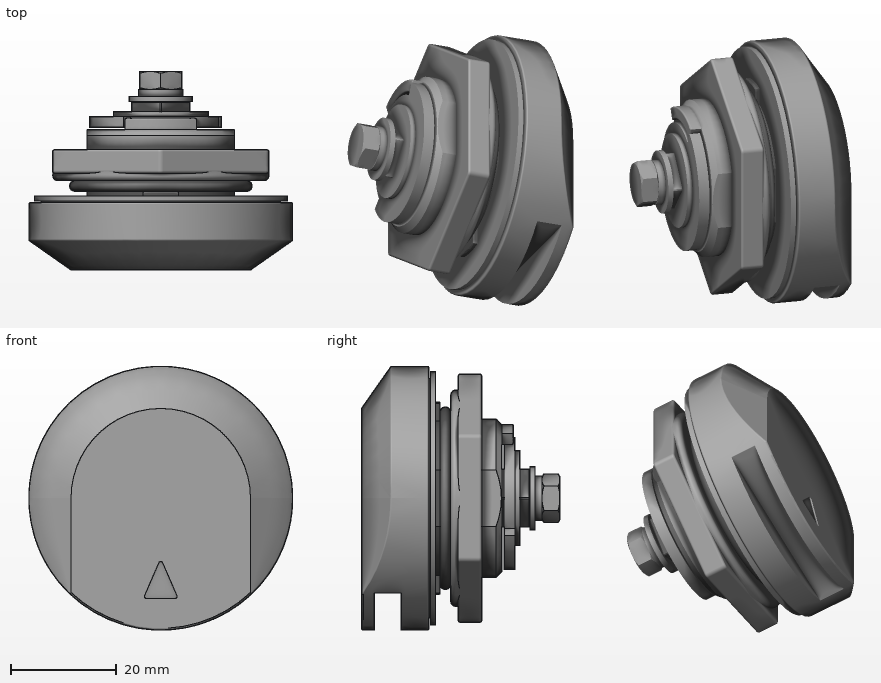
import cadquery as cq
import math


TOLERANCE = 0.001

KNOB_RADIUS = 25.0
FACE_RADIUS = 17.0
CONE_DEPTH = 5.6
KNOB_BACK = 12.75
KNOB_RIM_FILLET = 0.35
KNOB_BACK_FILLET = 0.3
BOSS_RADIUS = 22.7
BOSS_LENGTH = 0.3
GRIP_SLOT_DEPTH = 7.0
GRIP_SLOT_FRONT = 2.45
GRIP_SLOT_BACK = 7.5
ARROW_BASE_Z = -19.0
ARROW_HEIGHT = 7.6
ARROW_HALF_WIDTH = 3.3
ARROW_CORNER_RADIUS = 0.4
ARROW_DEPTH = 0.3

SPINDLE_SQUARE = 8.0
SPINDLE_RADIUS = 5.5
SPINDLE_END = 31.9
SPINDLE_EDGE_CHAMFER = 0.2

FLANGE_RADIUS = 24.0
FLANGE_THICKNESS = 1.0
FLANGE_FRONT = KNOB_BACK + BOSS_LENGTH
FLANGE_BACK = FLANGE_FRONT + FLANGE_THICKNESS
KEY_REACH = 18.25
KEY_WIDTH = 6.7
KEY_THICKNESS = 0.85
KEY_FILLET = 0.3
BARREL_RADIUS = 15.0
BARREL_FLATS = 28.0
BARREL_BACK = 26.6
BARREL_CHAMFER = 1.1
STOP_INNER_RADIUS = 11.6
STOP_OUTER_RADIUS = 14.0
STOP_HALF_ANGLE = 29.0
STOP_LENGTH = 2.15
STOP_FILLET = 0.3

RING_TUBE_RADIUS = 1.0
RING_OUTER_RADIUS = 17.3
RING_FRONT = FLANGE_BACK + KEY_THICKNESS

NUT_FLATS = 41.0
NUT_COLLAR_LENGTH = 1.4
NUT_HEX_LENGTH = 4.5
NUT_CORNER_RADIUS = 1.0
NUT_EDGE_FILLET = 0.45
NUT_COLLAR_FILLET = 1.0
NUT_FRONT = RING_FRONT + 2 * RING_TUBE_RADIUS
NUT_HEX_FRONT = NUT_FRONT + NUT_COLLAR_LENGTH
NUT_BACK = NUT_HEX_FRONT + NUT_HEX_LENGTH

CAM_SMALL_RADIUS = 11.0
CAM_LARGE_RADIUS = 13.5
CAM_THICKNESS = 2.05
CAM_FRONT = 27.0
CAM_BACK = CAM_FRONT + CAM_THICKNESS
CAM_FLANK_ANGLE = 31.6
WASHER_RADIUS = 9.0
WASHER_THICKNESS = 0.95

SCREW_WASHER_RADIUS = 6.0
SCREW_WASHER_THICKNESS = 1.0
SPRING_WASHER_RADIUS = 4.25
SPRING_WASHER_THICKNESS = 1.3
SCREW_FLATS = 8.0
SCREW_HEAD_HEIGHT = 3.4
SCREW_CHAMFER_ANGLE = 30.0


def plane_at(y):
    """XZ sketch plane at the given Y; local x, y are X, Z, and negative extrusion goes to +Y."""
    return cq.Workplane("XZ", origin=(0, y, 0))


def disc(radius, front, back):
    return plane_at(front).circle(radius).extrude(front - back)


def hexagon(flats, front, back):
    """Hexagonal prism with two corners in line with the Z axis."""
    corner_diameter = flats / math.cos(math.radians(30))
    prism = plane_at(front).polygon(6, corner_diameter).extrude(front - back)
    return prism.rotate((0, 0, 0), (0, 1, 0), 30)


def spindle_square(front, back):
    """Square bar turned 45 degrees, its corners rounded to the spindle's radius."""
    bar = plane_at(front).rect(SPINDLE_SQUARE, SPINDLE_SQUARE).extrude(front - back)
    bar = bar.rotate((0, 0, 0), (0, 1, 0), 45)
    return bar.intersect(disc(SPINDLE_RADIUS, front, back))


def barrel_outline(front, back):
    """Round bar with a flat on its -X and +X sides."""
    flats = plane_at(front).rect(BARREL_FLATS, 2 * BARREL_RADIUS).extrude(front - back)
    return disc(BARREL_RADIUS, front, back).intersect(flats)


def polar(radius, degrees):
    angle = math.radians(degrees)
    return (radius * math.cos(angle), radius * math.sin(angle))


def sector(inner, outer, start, end, front, back):
    """Ring segment between two angles, measured from +X toward +Z."""
    middle = (start + end) / 2
    return (
        plane_at(front)
        .moveTo(*polar(inner, start))
        .lineTo(*polar(outer, start))
        .threePointArc(polar(outer, middle), polar(outer, end))
        .lineTo(*polar(inner, end))
        .threePointArc(polar(inner, middle), polar(inner, start))
        .close()
        .extrude(front - back)
    )


def lies_on_front_rim(edge):
    """True for an edge where the knob's front meets its round side."""
    points = [edge.positionAt(part) for part in (0, 0.5, 1)]
    on_side = all(abs(math.hypot(p.x, p.z) - KNOB_RADIUS) < TOLERANCE for p in points)
    return on_side and all(p.y < CONE_DEPTH + TOLERANCE for p in points)


def make_knob():
    slope_radius = FACE_RADIUS + (KNOB_RADIUS - FACE_RADIUS) * KNOB_BACK / CONE_DEPTH
    cone_profile = [(0, 0), (FACE_RADIUS, 0), (slope_radius, KNOB_BACK), (0, KNOB_BACK)]
    cone = cq.Workplane("XY").polyline(cone_profile).close().revolve(180, (0, 0, 0), (0, -1, 0))
    prism_profile = [
        (-FACE_RADIUS, 0),
        (FACE_RADIUS, 0),
        (slope_radius, KNOB_BACK),
        (-slope_radius, KNOB_BACK),
    ]
    prism = cq.Workplane("XY").polyline(prism_profile).close().extrude(-slope_radius)
    knob = disc(KNOB_RADIUS, 0, KNOB_BACK).intersect(cone.union(prism))
    knob = knob.faces(">Y").edges().fillet(KNOB_BACK_FILLET)
    rim = knob.edges().filter(lies_on_front_rim)
    knob = knob.newObject(rim.vals()).fillet(KNOB_RIM_FILLET)

    slot_width = GRIP_SLOT_BACK - GRIP_SLOT_FRONT
    slot = cq.Workplane("XY").box(2 * KNOB_RADIUS, slot_width, GRIP_SLOT_DEPTH).translate(
        (0, GRIP_SLOT_FRONT + slot_width / 2, GRIP_SLOT_DEPTH / 2 - KNOB_RADIUS)
    )
    arrow = (
        plane_at(0)
        .polyline([
            (-ARROW_HALF_WIDTH, ARROW_BASE_Z),
            (ARROW_HALF_WIDTH, ARROW_BASE_Z),
            (0, ARROW_BASE_Z + ARROW_HEIGHT),
        ])
        .close()
        .extrude(-ARROW_DEPTH)
        .edges("|Y")
        .fillet(ARROW_CORNER_RADIUS)
    )
    boss = disc(BOSS_RADIUS, KNOB_BACK, FLANGE_FRONT)
    shaft = disc(SPINDLE_RADIUS, FLANGE_FRONT, BARREL_BACK)
    square = spindle_square(BARREL_BACK, SPINDLE_END).faces(">Y").chamfer(SPINDLE_EDGE_CHAMFER)
    return knob.cut(slot).cut(arrow).union(boss).union(shaft).union(square)


def make_housing():
    flange = disc(FLANGE_RADIUS, FLANGE_FRONT, FLANGE_BACK)
    keys = (
        plane_at(FLANGE_BACK)
        .rect(KEY_WIDTH, 2 * KEY_REACH)
        .extrude(-KEY_THICKNESS)
        .intersect(disc(KEY_REACH, FLANGE_BACK, RING_FRONT))
        .faces(">Y")
        .edges()
        .fillet(KEY_FILLET)
    )
    turned_barrel = disc(BARREL_RADIUS, FLANGE_BACK, BARREL_BACK).faces(">Y").chamfer(BARREL_CHAMFER)
    barrel = turned_barrel.intersect(barrel_outline(FLANGE_BACK, BARREL_BACK))
    stop = (
        sector(
            STOP_INNER_RADIUS,
            STOP_OUTER_RADIUS,
            90 - STOP_HALF_ANGLE,
            90 + STOP_HALF_ANGLE,
            BARREL_BACK,
            BARREL_BACK + STOP_LENGTH,
        )
        .faces(">Y")
        .edges()
        .fillet(STOP_FILLET)
    )
    bore = disc(SPINDLE_RADIUS, FLANGE_FRONT, BARREL_BACK)
    return flange.union(keys).union(barrel).union(stop).cut(bore)


def make_sealing_ring():
    tube_centre = RING_OUTER_RADIUS - RING_TUBE_RADIUS
    return (
        cq.Workplane("XY")
        .center(tube_centre, RING_FRONT + RING_TUBE_RADIUS)
        .circle(RING_TUBE_RADIUS)
        .revolve(360, (-tube_centre, 0, 0), (-tube_centre, 1, 0))
    )


def make_nut():
    hex_body = hexagon(NUT_FLATS, NUT_HEX_FRONT, NUT_BACK).edges("|Y").fillet(NUT_CORNER_RADIUS)
    hex_body = hex_body.faces("<Y or >Y").edges().fillet(NUT_EDGE_FILLET)
    collar = disc(NUT_FLATS / 2, NUT_FRONT, NUT_BACK - NUT_HEX_LENGTH / 2)
    collar = collar.faces("<Y").edges().fillet(NUT_COLLAR_FILLET)
    return hex_body.union(collar).cut(barrel_outline(NUT_FRONT, NUT_BACK))


def make_cam():
    hub = disc(CAM_SMALL_RADIUS, CAM_FRONT, CAM_BACK)
    lobe = sector(
        CAM_SMALL_RADIUS / 2,
        CAM_LARGE_RADIUS,
        90 + CAM_FLANK_ANGLE,
        360 - CAM_FLANK_ANGLE,
        CAM_FRONT,
        CAM_BACK,
    )
    return hub.union(lobe).cut(spindle_square(CAM_FRONT, CAM_BACK))


def make_washer():
    back = CAM_BACK + WASHER_THICKNESS
    return disc(WASHER_RADIUS, CAM_BACK, back).cut(spindle_square(CAM_BACK, back))


def make_screw():
    spring_front = SPINDLE_END + SCREW_WASHER_THICKNESS
    head_front = spring_front + SPRING_WASHER_THICKNESS
    head_back = head_front + SCREW_HEAD_HEIGHT
    corner_radius = SCREW_FLATS / 2 / math.cos(math.radians(30))
    end_radius = SCREW_FLATS / 2
    chamfer_depth = (corner_radius - end_radius) * math.tan(math.radians(SCREW_CHAMFER_ANGLE))
    chamfered_blank = (
        cq.Workplane("XY")
        .polyline([
            (0, head_front),
            (end_radius, head_front),
            (corner_radius, head_front + chamfer_depth),
            (corner_radius, head_back - chamfer_depth),
            (end_radius, head_back),
            (0, head_back),
        ])
        .close()
        .revolve(360, (0, 0, 0), (0, 1, 0))
    )
    head = hexagon(SCREW_FLATS, head_front, head_back).intersect(chamfered_blank)
    flat_washer = disc(SCREW_WASHER_RADIUS, SPINDLE_END, spring_front)
    spring_washer = disc(SPRING_WASHER_RADIUS, spring_front, head_front)
    return flat_washer.union(spring_washer).union(head)


knob = make_knob()
housing = make_housing()
sealing_ring = make_sealing_ring()
nut = make_nut()
cam = make_cam()
washer = make_washer()
screw = make_screw()

result = cq.Compound.makeCompound([
    knob.val(),
    housing.val(),
    sealing_ring.val(),
    nut.val(),
    cam.val(),
    washer.val(),
    screw.val(),
])